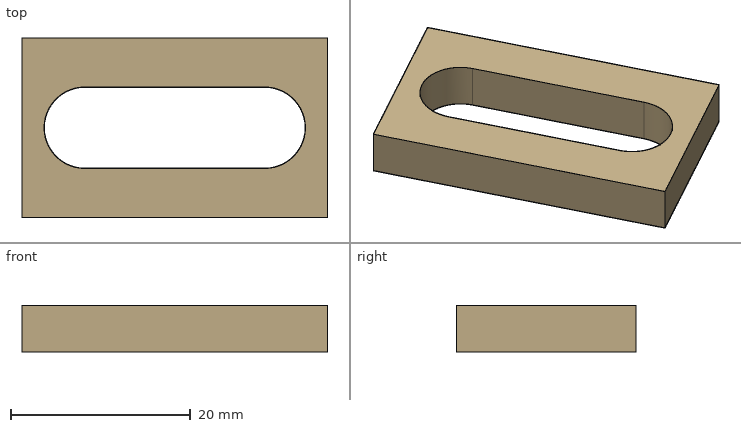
import cadquery as cq

plate_length = 34.0
plate_width = 20.0
plate_thickness = 5.2

slot_length = 29.0
slot_width = 9.0


def make_plate():
    """Rectangular plate centred on the origin in X and Y, resting on Z = 0."""
    return cq.Workplane("XY").box(
        plate_length, plate_width, plate_thickness, centered=(True, True, False)
    )


def cut_slot(plate):
    """Cut the round-ended slot, running along X, through the full thickness."""
    return plate.faces(">Z").workplane().slot2D(slot_length, slot_width).cutThruAll()


result = cut_slot(make_plate())